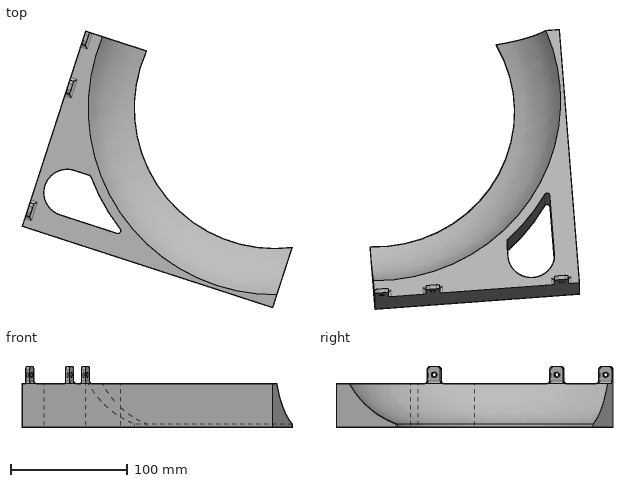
import cadquery as cq
import math

turn_angle = -18.0
long_side = 227.0
short_side = 176.9
body_height = 37.7

bowl_x = 175.5
bowl_y = 164.0
bowl_top_radius = 160.6
bowl_lip_radius = 120.8
bowl_lip_height = 2.9
bowl_sagitta = 4.8

window_round_radius = 20.0
window_round_x = 28.0
window_round_y = 39.5
window_wall = 8.3
window_corner_radius = 2.5

tab_width = 12.0
tab_thickness = 3.5
tab_height = 14.8
tab_corner_radius = 2.9
tab_foot_radius = 2.5
tab_hole_diameter = 4.3
tab_hole_drop = 7.2
tab_centers = (15.5, 126.5, short_side - tab_width / 2)

overlap = 2.5


def make_body():
    return cq.Workplane("XY").box(long_side, short_side, body_height, centered=False)


def make_bowl():
    """Solid of revolution that scoops the bowl out of the body."""
    run = bowl_top_radius - bowl_lip_radius
    rise = body_height - bowl_lip_height
    chord = math.hypot(run, rise)
    middle = (
        (bowl_lip_radius + bowl_top_radius) / 2 + bowl_sagitta * rise / chord,
        (bowl_lip_height + body_height) / 2 - bowl_sagitta * run / chord,
    )
    profile = (
        cq.Workplane("XZ")
        .moveTo(0, -overlap)
        .lineTo(bowl_lip_radius, -overlap)
        .lineTo(bowl_lip_radius, bowl_lip_height)
        .threePointArc(middle, (bowl_top_radius, body_height))
        .lineTo(bowl_top_radius, body_height + overlap)
        .lineTo(0, body_height + overlap)
        .close()
    )
    return profile.revolve(360, (0, 0, 0), (0, 1, 0)).translate((bowl_x, bowl_y, 0))


def make_window():
    """Slot with one round end, its other end bounded by an arc around the bowl."""
    slot_length = bowl_x - window_round_x
    slot = (
        cq.Workplane("XY")
        .moveTo(window_round_x + slot_length / 2, window_round_y)
        .rect(slot_length, 2 * window_round_radius)
        .extrude(body_height)
    )
    round_end = (
        cq.Workplane("XY")
        .moveTo(window_round_x, window_round_y)
        .circle(window_round_radius)
        .extrude(body_height)
    )
    rim = (
        cq.Workplane("XY")
        .moveTo(bowl_x, bowl_y)
        .circle(bowl_top_radius + window_wall)
        .extrude(body_height)
    )
    corners = cq.selectors.BoxSelector(
        (window_round_x + overlap, 0, 0), (bowl_x, short_side, body_height)
    )
    pointed_end = slot.cut(rim).edges("|Z").edges(corners).fillet(window_corner_radius)
    return pointed_end.union(round_end)


def make_tab(center_y):
    """Rounded tab whose foot flares into the body on both sides and at the back."""
    half = tab_width / 2
    foot = tab_foot_radius
    corner = tab_corner_radius
    foot_depth = tab_thickness + foot
    face = (
        cq.Workplane("YZ")
        .moveTo(-half - foot, -overlap)
        .lineTo(-half - foot, 0)
        .radiusArc((-half, foot), -foot)
        .lineTo(-half, tab_height - corner)
        .radiusArc((-half + corner, tab_height), corner)
        .lineTo(half - corner, tab_height)
        .radiusArc((half, tab_height - corner), corner)
        .lineTo(half, foot)
        .radiusArc((half + foot, 0), -foot)
        .lineTo(half + foot, -overlap)
        .close()
        .extrude(foot_depth)
    )
    side = (
        cq.Workplane("XZ")
        .moveTo(0, -overlap)
        .lineTo(0, tab_height)
        .lineTo(tab_thickness, tab_height)
        .lineTo(tab_thickness, foot)
        .radiusArc((foot_depth, 0), -foot)
        .lineTo(foot_depth, -overlap)
        .close()
        .extrude(half + foot, both=True)
    )
    hole = (
        cq.Workplane("YZ")
        .moveTo(0, tab_height - tab_hole_drop)
        .circle(tab_hole_diameter / 2)
        .extrude(foot_depth)
    )
    return face.intersect(side).cut(hole).translate((0, center_y, body_height))


envelope = cq.Workplane("XY").box(
    long_side, short_side, body_height + tab_height, centered=False
)

part = make_body().cut(make_bowl()).cut(make_window())
for tab_center in tab_centers:
    part = part.union(make_tab(tab_center).intersect(envelope))

result = part.rotate((0, 0, 0), (0, 0, 1), turn_angle)